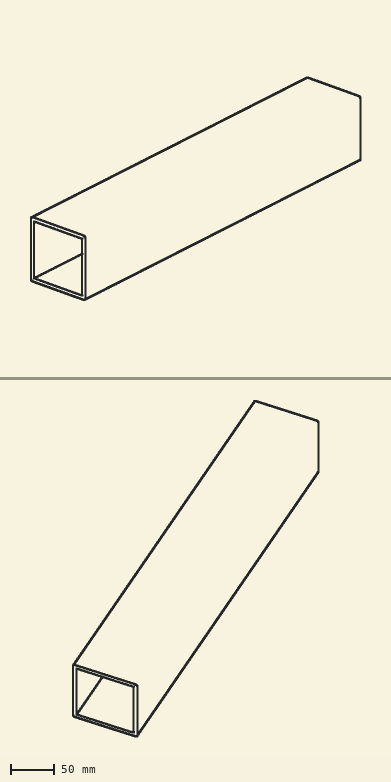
import cadquery as cq

length = 491.0
width = 82.0
wall = 5.0
corner_radius = 3.0


def square_bar(side):
    """Solid square bar along Y with the full length of the tube."""
    return cq.Workplane("XY").box(side, length, side)


outer = square_bar(width).edges("|Y").fillet(corner_radius)

bore = square_bar(width - 2 * wall)

result = outer.cut(bore)